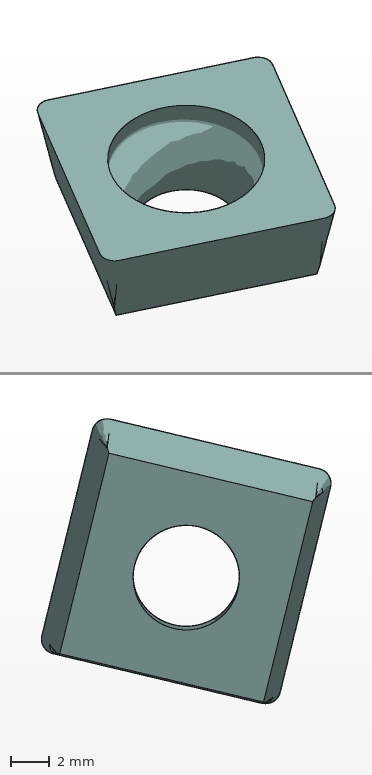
import cadquery as cq
import math

side = 12.7
thickness = 4.76
clearance_angle = 11.0
corner_radius = 0.8

hole_diameter = 5.5
recess_diameter = 8.13
recess_depth = 0.95
blend_radius = 0.3
seat_angle = 47.0

clearance_slope = math.tan(math.radians(clearance_angle))


def make_body():
    """Tapered square block, standing on Z = 0 with its large face on top."""
    bottom_side = side - 2 * thickness * clearance_slope
    return (
        cq.Workplane("XY")
        .rect(bottom_side, bottom_side)
        .workplane(offset=thickness)
        .rect(side, side)
        .loft(ruled=True)
    )


def make_corner_cutter():
    """Waste around the corner cone at +X +Y; the cone narrows to a point."""
    cone_height = corner_radius / clearance_slope
    cone_centre = side / 2 - corner_radius
    apex = (cone_centre, cone_centre, thickness - cone_height)
    block_side = 2 * corner_radius
    block = cq.Workplane("XY").box(block_side, block_side, cone_height, centered=False).translate(apex)
    cone = cq.Workplane(cq.Solid.makeCone(0, corner_radius, cone_height)).translate(apex)
    return block.cut(cone)


def make_screw_hole():
    """Straight recess, small concave blend, and a rounded seat that runs into the bore."""
    bore_radius = hole_diameter / 2
    recess_radius = recess_diameter / 2
    angle = math.radians(seat_angle)

    recess_bottom = thickness - recess_depth
    seat_top = recess_bottom - blend_radius * math.sin(angle)
    seat_top_radius = recess_radius - blend_radius * (1 - math.cos(angle))
    blend_middle = (
        recess_radius - blend_radius * (1 - math.cos(angle / 2)),
        recess_bottom - blend_radius * math.sin(angle / 2),
    )

    seat_arc_radius = (seat_top_radius - bore_radius) / (1 - math.cos(angle))
    seat_bottom = seat_top - seat_arc_radius * math.sin(angle)
    seat_middle = (
        bore_radius + seat_arc_radius * (1 - math.cos(angle / 2)),
        seat_bottom + seat_arc_radius * math.sin(angle / 2),
    )

    return (
        cq.Workplane("XZ")
        .lineTo(bore_radius, 0)
        .lineTo(bore_radius, seat_bottom)
        .threePointArc(seat_middle, (seat_top_radius, seat_top))
        .threePointArc(blend_middle, (recess_radius, recess_bottom))
        .lineTo(recess_radius, thickness)
        .lineTo(0, thickness)
        .close()
        .revolve(360, (0, 0, 0), (0, 1, 0))
    )


result = make_body()
corner_cutter = make_corner_cutter()
for quarter in range(4):
    result = result.cut(corner_cutter.rotate((0, 0, 0), (0, 0, 1), 90 * quarter))
result = result.cut(make_screw_hole())